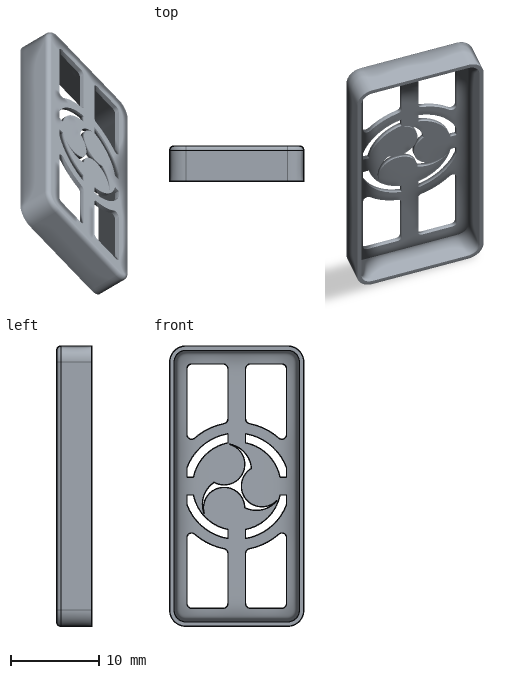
import cadquery as cq
import math

WIDTH = 15.2
DEPTH = 4.0
HEIGHT = 31.7
WALL = 0.5
PLATE_THICKNESS = 0.5
CORNER_RADIUS = 1.85
EDGE_ROUND = PLATE_THICKNESS

OPENING_HALF_WIDTH = 5.6
OPENING_HALF_HEIGHT = 13.8
OPENING_CORNER_RADIUS = 0.5
SPOKE_WIDTH = 2.03
RING_OUTER_RADIUS = 7.23
RING_INNER_RADIUS = 6.0
DISC_RADIUS = 5.0

COMMA_COUNT = 3
HEAD_OFFSET = 2.85
HEAD_RADIUS = 2.35
HEAD_START_ANGLE = 121.0
HEAD_END_ANGLE = 315.0
TAIL_ARC_RADIUS = 3.9
TAIL_ARC_ANGLE = 77.0

BACK_Y = DEPTH / 2
PLATE_FRONT_Y = BACK_Y - PLATE_THICKNESS
FRONT_Y = -DEPTH / 2


def sketch_plane(y):
    """XZ sketch plane at the given Y; extrusions run toward -Y."""
    return cq.Workplane("XZ", origin=(0, y, 0))


def rounded_block(width, height, radius, back_y, front_y):
    block = sketch_plane(back_y).rect(width, height).extrude(back_y - front_y)
    return block.edges("|Y").fillet(radius)


def plate_cylinder(radius):
    return sketch_plane(BACK_Y).circle(radius).extrude(PLATE_THICKNESS)


def polar(radius, angle, center_x=0.0):
    turn = math.radians(angle)
    return (center_x + radius * math.cos(turn), radius * math.sin(turn))


def rotated(point, angle):
    turn = math.radians(angle)
    x, z = point
    return (x * math.cos(turn) - z * math.sin(turn), x * math.sin(turn) + z * math.cos(turn))


def make_rim():
    """Rectangular wall standing in front of the plate."""
    outer = rounded_block(WIDTH, HEIGHT, CORNER_RADIUS, PLATE_FRONT_Y, FRONT_Y)
    inner = rounded_block(
        WIDTH - 2 * WALL, HEIGHT - 2 * WALL, CORNER_RADIUS - WALL, PLATE_FRONT_Y, FRONT_Y
    )
    return outer.cut(inner)


def make_window(side_x, side_z):
    """One corner window, bounded by a spoke and by the outside of the ring."""
    width = OPENING_HALF_WIDTH - SPOKE_WIDTH / 2
    center_x = side_x * (OPENING_HALF_WIDTH + SPOKE_WIDTH / 2) / 2
    window = (
        sketch_plane(BACK_Y)
        .center(center_x, side_z * OPENING_HALF_HEIGHT / 2)
        .rect(width, OPENING_HALF_HEIGHT)
        .extrude(PLATE_THICKNESS)
        .cut(plate_cylinder(RING_OUTER_RADIUS))
    )
    return window.edges("|Y").fillet(OPENING_CORNER_RADIUS)


def make_ring_slots():
    """Four arc slots between ring and disc, separated by the crossing spokes."""
    bound = sketch_plane(BACK_Y).rect(2 * OPENING_HALF_WIDTH, HEIGHT).extrude(PLATE_THICKNESS)
    spokes = (
        sketch_plane(BACK_Y).rect(SPOKE_WIDTH, HEIGHT).extrude(PLATE_THICKNESS)
        .union(sketch_plane(BACK_Y).rect(WIDTH, SPOKE_WIDTH).extrude(PLATE_THICKNESS))
    )
    annulus = plate_cylinder(RING_INNER_RADIUS).cut(plate_cylinder(DISC_RADIUS))
    return annulus.intersect(bound).cut(spokes)


def make_comma_gap():
    """Three-armed gap whose edges outline the comma heads and tails."""
    step = 360 / COMMA_COUNT
    head_start = polar(HEAD_RADIUS, HEAD_START_ANGLE, HEAD_OFFSET)
    head_middle = polar(HEAD_RADIUS, (HEAD_START_ANGLE + HEAD_END_ANGLE) / 2, HEAD_OFFSET)
    head_end = polar(HEAD_RADIUS, HEAD_END_ANGLE, HEAD_OFFSET)
    tail_middle = polar(TAIL_ARC_RADIUS, TAIL_ARC_ANGLE)

    outline = sketch_plane(BACK_Y).moveTo(*rotated(head_end, step))
    for index in range(COMMA_COUNT):
        turn = -index * step
        outline = outline.threePointArc(rotated(tail_middle, turn), rotated(head_start, turn))
        outline = outline.threePointArc(rotated(head_middle, turn), rotated(head_end, turn))
    return outline.close().extrude(PLATE_THICKNESS)


def make_plate():
    """Back plate with rounded outer edge, windows, ring slots and comma pattern."""
    block = rounded_block(WIDTH, HEIGHT, CORNER_RADIUS, BACK_Y, FRONT_Y)
    block = block.faces(">Y").edges().fillet(EDGE_ROUND)
    slice_box = sketch_plane(BACK_Y).rect(WIDTH, HEIGHT).extrude(PLATE_THICKNESS)
    plate = block.intersect(slice_box)
    for side_x in (-1, 1):
        for side_z in (-1, 1):
            plate = plate.cut(make_window(side_x, side_z))
    return plate.cut(make_ring_slots()).cut(make_comma_gap())


rim = make_rim()
plate = make_plate()

result = cq.Compound.makeCompound([rim.solids().val(), plate.solids().val()])